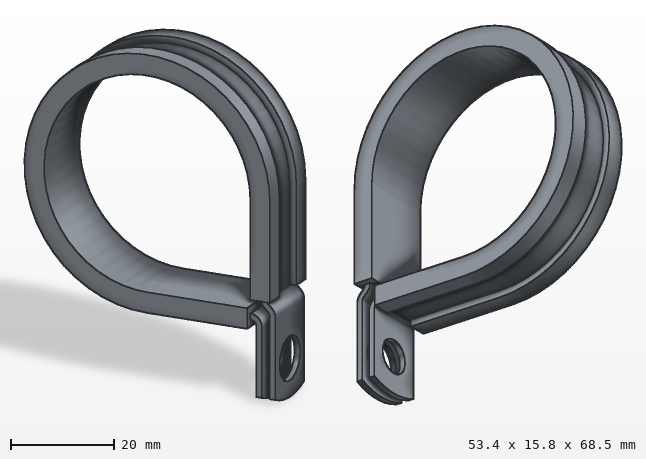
import cadquery as cq
import math

overall_x = 53.36
overall_z = 68.48

cushion_width = 15.75
outer_radius = 26.46
inner_radius = 22.2
upright_leg_end_z = -20.4

groove_width = 7.6
groove_depth = 1.45
groove_radius = outer_radius - groove_depth

strap_width = 12.7
strap_thickness = 1.24
strap_mid_radius = groove_radius - strap_thickness / 2
bend_inside_radius = strap_thickness
bend_mid_radius = bend_inside_radius + strap_thickness / 2
jog_angle = math.radians(45)

tab_gap = 1.67
tip_z = outer_radius - overall_z
tip_radius = 16.2
inner_hole_diameter = 7.2
outer_hole_diameter = 9.1
hole_to_tip = 7.95
outer_tab_mid_x = overall_x - outer_radius - strap_thickness / 2
inner_tab_mid_x = outer_tab_mid_x - strap_thickness - tab_gap

level_leg_end_x = inner_tab_mid_x - bend_mid_radius


def band(outside, inside, width):
    """Ring and both legs between two concentric radii, centred on Y = 0."""
    diagonal = math.sqrt(0.5)
    return (
        cq.Workplane("XZ")
        .moveTo(outside, upright_leg_end_z)
        .lineTo(outside, 0)
        .threePointArc((-outside * diagonal, outside * diagonal), (0, -outside))
        .lineTo(level_leg_end_x, -outside)
        .lineTo(level_leg_end_x, -inside)
        .lineTo(0, -inside)
        .threePointArc((-inside * diagonal, inside * diagonal), (inside, 0))
        .lineTo(inside, upright_leg_end_z)
        .close()
        .extrude(width / 2, both=True)
    )


def make_cushion():
    """Rubber band with the groove cut around its outside."""
    groove = band(outer_radius, groove_radius, groove_width)
    return band(outer_radius, inner_radius, cushion_width).cut(groove)


def outer_tab():
    """Strap end below the upright leg: jogs outwards, then runs straight down."""
    offset = outer_tab_mid_x - strap_mid_radius
    bend_shift = bend_mid_radius * (1 - math.cos(jog_angle))
    bend_drop = bend_mid_radius * math.sin(jog_angle)
    slope_shift = offset - 2 * bend_shift
    slope_drop = slope_shift / math.tan(jog_angle)
    jog_end_z = upright_leg_end_z - 2 * bend_drop - slope_drop
    path = (
        cq.Workplane("XZ", origin=(strap_mid_radius, 0, upright_leg_end_z))
        .moveTo(0, 0)
        .radiusArc((bend_shift, -bend_drop), -bend_mid_radius)
        .line(slope_shift, -slope_drop)
        .radiusArc((offset, jog_end_z - upright_leg_end_z), bend_mid_radius)
        .lineTo(offset, tip_z - upright_leg_end_z)
    )
    section = cq.Workplane("XY", origin=(strap_mid_radius, 0, upright_leg_end_z))
    return section.rect(strap_thickness, strap_width).sweep(path)


def inner_tab():
    """Strap end beyond the level leg: a quarter bend, then straight down."""
    path = (
        cq.Workplane("XZ")
        .moveTo(level_leg_end_x, -strap_mid_radius)
        .radiusArc((inner_tab_mid_x, -strap_mid_radius - bend_mid_radius), bend_mid_radius)
        .lineTo(inner_tab_mid_x, tip_z)
    )
    section = cq.Workplane("YZ", origin=(level_leg_end_x, 0, -strap_mid_radius))
    return section.rect(strap_width, strap_thickness).sweep(path)


def tab_envelope():
    """Block along X as wide as the strap, with the curved tab tip as its underside."""
    half_width = strap_width / 2
    tip_corner_z = tip_z + tip_radius - math.sqrt(tip_radius**2 - half_width**2)
    return (
        cq.Workplane("YZ")
        .moveTo(-half_width, 0)
        .lineTo(-half_width, tip_corner_z)
        .threePointArc((0, tip_z), (half_width, tip_corner_z))
        .lineTo(half_width, 0)
        .close()
        .extrude(overall_x)
    )


def mounting_hole(diameter):
    """Bolt hole along X, through a tab."""
    return (
        cq.Workplane("YZ")
        .center(0, tip_z + hole_to_tip)
        .circle(diameter / 2)
        .extrude(overall_x)
    )


def finish_tab(strap_end, diameter):
    """Round the tip of a strap end and drill its bolt hole."""
    return strap_end.intersect(tab_envelope()).cut(mounting_hole(diameter))


result = make_cushion()
result = result.union(finish_tab(outer_tab(), outer_hole_diameter))
result = result.union(finish_tab(inner_tab(), inner_hole_diameter))